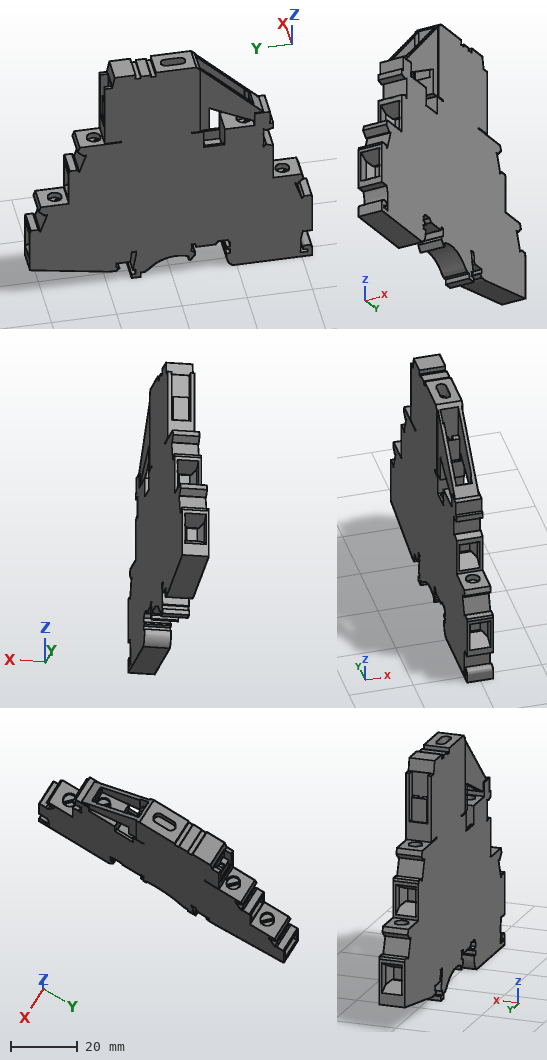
import cadquery as cq


WIDTH = 8.1
LENGTH = 86.55
HEIGHT = 78.0
HALF_WIDTH = WIDTH / 2
HALF_LENGTH = LENGTH / 2

LEVEL_SETBACK = 11.95
LEVEL_RISE = 21.0
LOWER_DECK = 31.8
UPPER_DECK = LOWER_DECK + LEVEL_RISE
UPPER_WALL = HALF_LENGTH - LEVEL_SETBACK

SCREW_Y = 34.9
SCREW_RADIUS = 2.1
SCREW_RECESS = 1.9
SCREW_SLOT_WIDTH = 0.6
SCREW_SLOT_DEPTH = 0.4
SCREW_SLOT_ANGLE = -45

ENTRY_Z = 16.5
ENTRY_HALF_HEIGHT = 4.8
ENTRY_HALF_WIDTH = 3.2
ENTRY_END_HALF_HEIGHT = 2.1
ENTRY_END_HALF_WIDTH = 1.6
ENTRY_DEPTH = 5.9
ENTRY_WEDGE_DEPTH = 5.2
ENTRY_STRAIGHT_DEPTH = 3.1

MODULE_BACK = 20.3
MODULE_FRONT = -8.9
MODULE_LEDGE_Z = 74.1
MODULE_LEDGE_Y = 18.1
MODULE_TOP_BACK = 17.3
LATCH_TOP = 66.4
LATCH_BASE_TOP = 58.85
LATCH_LIP = 0.4
LATCH_SLOT_WIDTH = 1.2
LATCH_SLOT_DEPTH = 1.7

SEAT_GAP = 0.3
SEAT_BACK = 15.3
SEAT_FRONT = -6.3

GROOVE_BACK = 10.9
GROOVE_FRONT = 4.7
GROOVE_FLOOR = 76.5
RIB_BACK = 9.3
RIB_FRONT = 6.15
RIB_TOP = 77.2

WINDOW_WIDTH = 3.0
WINDOW_LENGTH = 7.45
WINDOW_Y = -1.4
WINDOW_DEPTH = 4.3
WINDOW_ANGLE = 90

BACK_RECESS_WIDTH = 5.9
BACK_RECESS_FRONT = 17.8
BACK_LATCH_WIDTH = 4.85
BACK_LATCH_BACK = 19.8

PIVOT_TOP = 57.3
PIVOT_BACK = -25.6
PIVOT_FRONT = -30.3
SLOPE_END = -28.4
SLOPE_START = SLOPE_END + HEIGHT - PIVOT_TOP
FRAME_TOP = PIVOT_TOP + MODULE_FRONT - SLOPE_END
FRAME_WIDTH = 7.45
LEG_FRONT = -11.8
LEG_NOTCH_TOP = 61.3
ARM_UNDERSIDE_END = 54.2
OPENING_HALF_WIDTH = 2.6
OPENING_WIDE_LEFT = 2.9
OPENING_NARROW_RIGHT = 2.3
OPENING_NARROW_START = -23.8
OPENING_END = -25.5
OPENING_BEVEL = 0.5
LATCH_FRONT = -10.9

DECK_NOTCH_BACK = -10.0
DECK_NOTCH_FRONT = -16.45
DECK_NOTCH_FLOOR = 46.9
NOTCH_POCKET_WIDTH = 6.6
NOTCH_POCKET_BACK = -10.5
NOTCH_POCKET_DEPTH = 3.5


def block(x_min, x_max, y_min, y_max, z_min, z_max):
    """Box given by its limits along X, Y and Z."""
    size = (x_max - x_min, y_max - y_min, z_max - z_min)
    return cq.Workplane("XY").box(*size, centered=False).translate((x_min, y_min, z_min))


def plate(profile, width):
    """Closed Y-Z profile extruded evenly about the middle plane."""
    return profile.close().extrude(width / 2, both=True)


def terminal_edge(side, setback=0.0, rise=0.0):
    """Lipped edge of one terminal level, from its deck down to its outer wall."""
    edge = [
        (40.0, LOWER_DECK),
        (40.6, 30.1),
        (38.8, 28.3),
        (38.0, 28.5),
        (40.1, 22.4),
        (40.8, 23.2),
        (43.0, 23.2),
        (HALF_LENGTH, 22.4),
    ]
    return [(side * (y - setback), z + rise) for y, z in edge]


def make_housing():
    """Main body with terminal steps on top and rail clips underneath."""
    back_steps = [
        *terminal_edge(1, LEVEL_SETBACK, LEVEL_RISE),
        (UPPER_WALL, LOWER_DECK),
        *terminal_edge(1),
    ]
    back_foot = [
        (HALF_LENGTH, 8.0),
        (19.0, 3.55),
        (16.9, 3.55),
        (15.8, 4.4),
        (16.8, 5.1),
        (16.8, 6.3),
        (12.7, 6.3),
        (12.4, 7.1),
        (12.1, 9.95),
        (10.65, 9.95),
        (10.8, 8.4),
        (11.8, 3.0),
        (10.9, 3.0),
        (10.9, 1.5),
        (12.1, 1.5),
        (12.1, 0),
        (9.3, 0),
        (9.3, 1.65),
        (8.1, 1.7),
        (6.8, 2.7),
    ]
    arch_middle = (-1.3, 6.3)
    arch_end = (-4.85, 5.8)
    rail_recess = [
        (-5.4, 5.45),
        (-5.4, 4.3),
        (-5.9, 4.1),
        (-7.4, 6.0),
        (-7.4, 6.8),
        (-6.2, 7.5),
        (-6.2, 9.95),
        (-7.3, 9.95),
        (-7.7, 8.8),
        (-13.6, 8.8),
        (-14.45, 9.95),
        (-17.2, 9.95),
        (-18.1, 8.8),
        (-18.1, 7.5),
        (-17.0, 7.2),
        (-17.0, 6.6),
        (-18.1, 6.2),
        (-18.1, 4.9),
        (-17.0, 4.9),
        (-17.0, 3.4),
    ]
    foot_corner_middle = (-17.5, 1.6)
    foot_corner_end = (-18.9, 0)
    hook_outside = [(-HALF_LENGTH, 0), (-HALF_LENGTH, 2.85)]
    hook_front_middle = (-42.8, 3.7)
    hook_front_end = (-42.0, 4.15)
    hook_back_start = (-41.3, 4.15)
    hook_back_middle = (-40.7, 3.9)
    hook_back_end = (-40.4, 3.3)
    front_foot = [
        (-40.4, 2.7),
        (-41.8, 2.4),
        (-41.8, 1.65),
        (-39.6, 1.65),
        (-39.7, 6.8),
        (-40.2, 8.9),
        (-40.4, 9.6),
        (-HALF_LENGTH, 9.6),
    ]
    front_steps = [
        *reversed(terminal_edge(-1)),
        (-UPPER_WALL, LOWER_DECK),
        (-UPPER_WALL, 44.05),
        (-29.2, 45.0),
        (-28.3, 44.2),
        (-28.3, 50.9),
        (-29.2, 50.4),
        (-UPPER_WALL, 51.0),
        (-UPPER_WALL, UPPER_DECK),
    ]
    profile = (
        cq.Workplane("YZ")
        .polyline(back_steps + back_foot)
        .threePointArc(arch_middle, arch_end)
        .polyline(rail_recess, includeCurrent=True)
        .threePointArc(foot_corner_middle, foot_corner_end)
        .polyline(hook_outside, includeCurrent=True)
        .threePointArc(hook_front_middle, hook_front_end)
        .lineTo(*hook_back_start)
        .threePointArc(hook_back_middle, hook_back_end)
        .polyline(front_foot + front_steps, includeCurrent=True)
    )
    deck_notch = block(
        -HALF_WIDTH, HALF_WIDTH, DECK_NOTCH_FRONT, DECK_NOTCH_BACK, DECK_NOTCH_FLOOR, UPPER_DECK
    )
    half_pocket = NOTCH_POCKET_WIDTH / 2
    floor_pocket = block(
        -half_pocket, half_pocket, DECK_NOTCH_FRONT, NOTCH_POCKET_BACK,
        DECK_NOTCH_FLOOR - NOTCH_POCKET_DEPTH, DECK_NOTCH_FLOOR,
    )
    return plate(profile, WIDTH).cut(deck_notch).cut(floor_pocket)


def make_module():
    """Plug-in module with a grooved top, a window and a latch recess at the back."""
    profile = cq.Workplane("YZ").polyline([
        (MODULE_BACK, UPPER_DECK),
        (MODULE_BACK, MODULE_LEDGE_Z),
        (MODULE_LEDGE_Y, MODULE_LEDGE_Z),
        (MODULE_TOP_BACK, HEIGHT),
        (GROOVE_BACK, HEIGHT),
        (GROOVE_BACK, GROOVE_FLOOR),
        (RIB_BACK, GROOVE_FLOOR),
        (RIB_BACK, RIB_TOP),
        (RIB_FRONT, RIB_TOP),
        (RIB_FRONT, GROOVE_FLOOR),
        (GROOVE_FRONT, GROOVE_FLOOR),
        (GROOVE_FRONT, HEIGHT),
        (SLOPE_START, HEIGHT),
        (MODULE_FRONT, FRAME_TOP),
        (MODULE_FRONT, UPPER_DECK),
    ])
    window = (
        cq.Workplane("XY", origin=(0, WINDOW_Y, HEIGHT))
        .slot2D(WINDOW_LENGTH, WINDOW_WIDTH, WINDOW_ANGLE)
        .extrude(-WINDOW_DEPTH)
    )
    half_recess = BACK_RECESS_WIDTH / 2
    recess = block(
        -half_recess, half_recess, BACK_RECESS_FRONT, MODULE_BACK, LATCH_BASE_TOP, MODULE_LEDGE_Z
    )
    half_latch = BACK_LATCH_WIDTH / 2
    latch = block(
        -half_latch, half_latch, BACK_RECESS_FRONT, BACK_LATCH_BACK, LATCH_BASE_TOP, LATCH_TOP
    )
    latch = latch.cut(latch_slot(BACK_RECESS_FRONT, BACK_LATCH_BACK - LATCH_LIP))
    return plate(profile, WIDTH).cut(window).cut(recess).union(latch)


def latch_slot(y_min, y_max):
    """Narrow slot cut down from the top of a latch."""
    half_slot = LATCH_SLOT_WIDTH / 2
    return block(-half_slot, half_slot, y_min, y_max, LATCH_TOP - LATCH_SLOT_DEPTH, LATCH_TOP)


def make_lever():
    """Sloping open frame, its pivot block and the latch between its legs."""
    profile = cq.Workplane("YZ").polyline([
        (MODULE_FRONT, UPPER_DECK),
        (MODULE_FRONT, FRAME_TOP),
        (SLOPE_END, PIVOT_TOP),
        (PIVOT_BACK, ARM_UNDERSIDE_END),
        (LEG_FRONT, LEG_NOTCH_TOP),
        (LEG_FRONT, UPPER_DECK),
    ])
    opening = block(
        -OPENING_HALF_WIDTH, OPENING_HALF_WIDTH,
        OPENING_NARROW_START, MODULE_FRONT, UPPER_DECK, FRAME_TOP,
    )
    wide_start = block(
        -OPENING_WIDE_LEFT, OPENING_HALF_WIDTH, LEG_FRONT, MODULE_FRONT, UPPER_DECK, FRAME_TOP
    )
    bevel_start = OPENING_END + OPENING_BEVEL
    narrow_end = block(
        -OPENING_HALF_WIDTH, OPENING_NARROW_RIGHT,
        bevel_start, OPENING_NARROW_START, UPPER_DECK, FRAME_TOP,
    )
    bevel_top = PIVOT_TOP + OPENING_END - SLOPE_END
    bevel = (
        cq.Workplane("YZ", origin=(-OPENING_HALF_WIDTH, 0, 0))
        .polyline([
            (OPENING_END, bevel_top),
            (bevel_start, bevel_top + OPENING_BEVEL),
            (bevel_start, bevel_top - OPENING_BEVEL),
        ])
        .close()
        .extrude(OPENING_HALF_WIDTH + OPENING_NARROW_RIGHT)
    )
    latch = block(
        -OPENING_WIDE_LEFT, OPENING_HALF_WIDTH, LATCH_FRONT, MODULE_FRONT, UPPER_DECK, LATCH_TOP
    )
    latch = latch.cut(latch_slot(LATCH_FRONT + LATCH_LIP, MODULE_FRONT))
    leg_wall = block(
        -OPENING_WIDE_LEFT, OPENING_HALF_WIDTH, LEG_FRONT, LATCH_FRONT, UPPER_DECK, LATCH_BASE_TOP
    )
    pivot = block(-HALF_WIDTH, HALF_WIDTH, PIVOT_FRONT, PIVOT_BACK, UPPER_DECK, PIVOT_TOP)
    frame = plate(profile, FRAME_WIDTH)
    for cutter in (opening, wide_start, narrow_end, bevel):
        frame = frame.cut(cutter)
    return frame.union(latch).union(leg_wall).union(pivot)


def screw_cut(y, deck):
    """Round recess in a deck, ending on a slotted screw head."""
    head = deck - SCREW_RECESS
    recess = cq.Workplane("XY", origin=(0, y, head)).circle(SCREW_RADIUS).extrude(SCREW_RECESS)
    slot = (
        cq.Workplane("XY", origin=(0, y, head))
        .slot2D(2 * SCREW_RADIUS, SCREW_SLOT_WIDTH, SCREW_SLOT_ANGLE)
        .extrude(-SCREW_SLOT_DEPTH)
    )
    return recess.union(slot)


def entry_cut(side, wall, z):
    """Wire funnel: a wedge in height crossed with a tapered plan shape."""
    mouth = side * wall
    straight_end = side * (wall - ENTRY_STRAIGHT_DEPTH)
    wedge_end = side * (wall - ENTRY_WEDGE_DEPTH)
    end = side * (wall - ENTRY_DEPTH)
    wedge = cq.Workplane("YZ").polyline([
        (mouth, z - ENTRY_HALF_HEIGHT),
        (mouth, z + ENTRY_HALF_HEIGHT),
        (wedge_end, z + ENTRY_END_HALF_HEIGHT),
        (end, z + ENTRY_END_HALF_HEIGHT),
        (end, z - ENTRY_END_HALF_HEIGHT),
        (wedge_end, z - ENTRY_END_HALF_HEIGHT),
    ])
    plan = (
        cq.Workplane("XY", origin=(0, 0, z))
        .polyline([
            (-ENTRY_HALF_WIDTH, mouth),
            (ENTRY_HALF_WIDTH, mouth),
            (ENTRY_HALF_WIDTH, straight_end),
            (ENTRY_END_HALF_WIDTH, end),
            (-ENTRY_END_HALF_WIDTH, end),
            (-ENTRY_HALF_WIDTH, straight_end),
        ])
        .close()
        .extrude(ENTRY_HALF_HEIGHT, both=True)
    )
    return plate(wedge, 2 * ENTRY_HALF_WIDTH).intersect(plan)


result = make_housing()
for level in (0, 1):
    setback = level * LEVEL_SETBACK
    rise = level * LEVEL_RISE
    for side in (1, -1):
        result = result.cut(screw_cut(side * (SCREW_Y - setback), LOWER_DECK + rise))
        result = result.cut(entry_cut(side, HALF_LENGTH - setback, ENTRY_Z + rise))

upper_part = make_module().union(make_lever())
for gap_start, gap_end in ((SEAT_BACK, MODULE_BACK), (LEG_FRONT, SEAT_FRONT)):
    upper_part = upper_part.cut(
        block(-HALF_WIDTH, HALF_WIDTH, gap_start, gap_end, UPPER_DECK, UPPER_DECK + SEAT_GAP)
    )
result = result.union(upper_part)